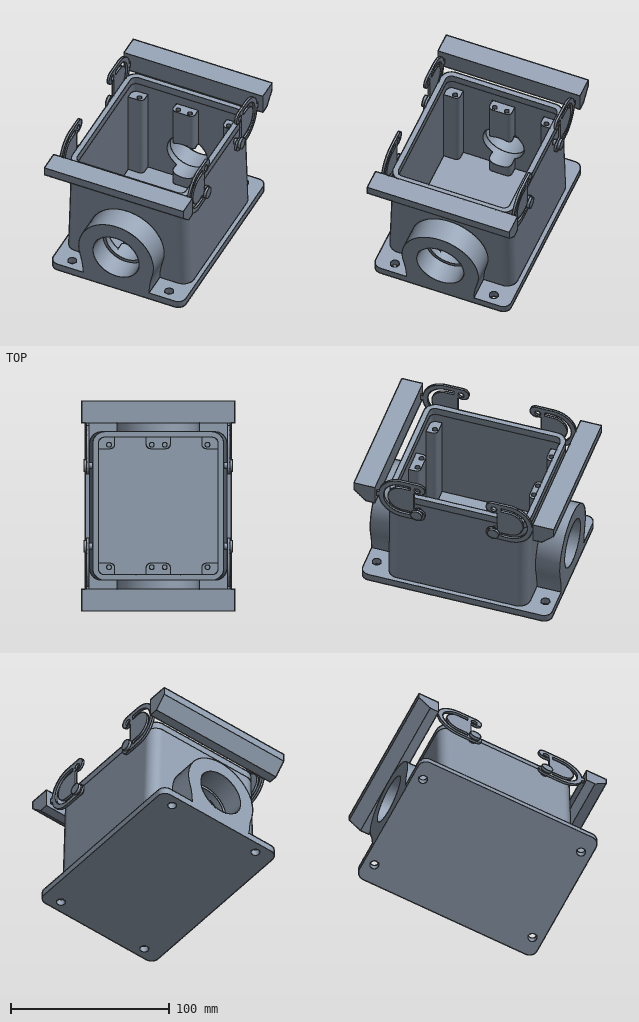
import cadquery as cq
import math


FLANGE_WIDTH = 92.6
FLANGE_LENGTH = 126.2
FLANGE_THICKNESS = 5.0
FLANGE_CORNER_RADIUS = 5.5
MOUNTING_HOLE_DIAMETER = 5.6
MOUNTING_HOLE_X = 33.8
MOUNTING_HOLE_Y = 56.1

BOX_HEIGHT = 79.0
RIM_HEIGHT = 5.3
RIM_WIDTH = 82.7
BOX_LENGTH = 93.9
BOX_CORNER_RADIUS = 7.5
WALL_THICKNESS = 3.5
WALL_LEAN = 2.0
RIM_BOTTOM = BOX_HEIGHT - RIM_HEIGHT
CAVITY_WIDTH = RIM_WIDTH - 2 * WALL_THICKNESS
CAVITY_LENGTH = BOX_LENGTH - 2 * WALL_THICKNESS
CAVITY_CORNER_RADIUS = BOX_CORNER_RADIUS - WALL_THICKNESS

PILLAR_TOP = 67.2
PILLAR_REACH = 7.3
PILLAR_CORNER_RADIUS = 2.9
CORNER_PILLAR_WIDTH = 10.4
MIDDLE_PILLAR_WIDTH = 15.3
SCREW_HOLE_DIAMETER = 3.0
SCREW_HOLE_DEPTH = 13.3
SCREW_HOLE_Y = 38.7
MIDDLE_SCREW_X = 4.1
CORNER_SCREW_X = 31.1

ENTRY_HEIGHT = 26.9
ENTRY_RADIUS = 26.1
ENTRY_NECK_HALF_WIDTH = 23.0
ENTRY_BORE_RADIUS = 14.1
ENTRY_COUNTERBORE_RADIUS = 16.1
ENTRY_COUNTERBORE_DEPTH = 14.9

LEVER_HEIGHT = 79.4
PLATE_INNER_X = 43.8
PLATE_THICKNESS = 1.5
PLATE_EDGE_Y = 27.8
PLATE_ARC_Y = 35.5
PLATE_ARC_RADIUS = 15.5
HOOK_RADIUS = 4.3
HOOK_Y = 24.6
NOTCH_FILLET = 0.9
SLOT_OUTER_RADIUS = 12.4
SLOT_INNER_RADIUS = 9.5
SLOT_END_Y = 30.2
SLOT_END_FILLET = 0.5
PIN_Y = 25.5
PIN_OFFSET_Z = 10.4
PIN_RADIUS = 2.0
PIN_HEAD_RADIUS = 3.7
PIN_HEAD_THICKNESS = 1.9
NECK_HEIGHT = 3.9
BAR_LENGTH = 97.0
BAR_OUTER_Y = 66.5
BAR_INNER_Y = 52.5
BAR_BOTTOM_OUTER_Y = 58.5
BAR_TOP = 87.5
BAR_BEND = 81.5
BAR_BOTTOM = RIM_BOTTOM
PLATE_OUTER_X = PLATE_INNER_X + PLATE_THICKNESS


def wall_block(bottom, top, bottom_width, top_width, length, radius):
    """Block with upright Y sides, evenly sloped X sides and four rounded corners."""
    return (
        cq.Workplane("XZ")
        .polyline(
            [
                (-bottom_width / 2, bottom),
                (bottom_width / 2, bottom),
                (top_width / 2, top),
                (-top_width / 2, top),
            ]
        )
        .close()
        .extrude(length / 2, both=True)
        .edges("not (|X or |Y)")
        .fillet(radius)
    )


def leaning_walls():
    """Outside of the box below the rim, wider at the flange than at the rim."""
    foot_width = RIM_WIDTH + 2 * WALL_LEAN
    return wall_block(FLANGE_THICKNESS, RIM_BOTTOM, foot_width, RIM_WIDTH, BOX_LENGTH, BOX_CORNER_RADIUS)


def cavity():
    """Straight-sided pocket from the top of the flange up through the rim."""
    return wall_block(
        FLANGE_THICKNESS, BOX_HEIGHT, CAVITY_WIDTH, CAVITY_WIDTH, CAVITY_LENGTH, CAVITY_CORNER_RADIUS
    )


def flange():
    return (
        cq.Workplane()
        .rect(FLANGE_WIDTH, FLANGE_LENGTH)
        .extrude(FLANGE_THICKNESS)
        .edges("|Z")
        .fillet(FLANGE_CORNER_RADIUS)
        .faces(">Z")
        .workplane()
        .rect(2 * MOUNTING_HOLE_X, 2 * MOUNTING_HOLE_Y, forConstruction=True)
        .vertices()
        .hole(MOUNTING_HOLE_DIAMETER)
    )


def cable_entries():
    """Round bosses over the full flange length, each blending down into a narrower neck."""
    rise = ENTRY_HEIGHT - FLANGE_THICKNESS
    blend_radius = (rise**2 + ENTRY_NECK_HALF_WIDTH**2 - ENTRY_RADIUS**2) / (
        2 * (ENTRY_RADIUS - ENTRY_NECK_HALF_WIDTH)
    )
    blend_center_x = ENTRY_NECK_HALF_WIDTH + blend_radius
    blend_angle = math.asin(rise / (ENTRY_RADIUS + blend_radius))
    touch_x = ENTRY_RADIUS * math.cos(blend_angle)
    touch_z = ENTRY_HEIGHT - ENTRY_RADIUS * math.sin(blend_angle)
    middle_x = blend_center_x - blend_radius * math.cos(blend_angle / 2)
    middle_z = FLANGE_THICKNESS + blend_radius * math.sin(blend_angle / 2)
    return (
        cq.Workplane("XZ", origin=(0, FLANGE_LENGTH / 2, 0))
        .moveTo(-ENTRY_NECK_HALF_WIDTH, 0)
        .lineTo(ENTRY_NECK_HALF_WIDTH, 0)
        .lineTo(ENTRY_NECK_HALF_WIDTH, FLANGE_THICKNESS)
        .threePointArc((middle_x, middle_z), (touch_x, touch_z))
        .threePointArc((0, ENTRY_HEIGHT + ENTRY_RADIUS), (-touch_x, touch_z))
        .threePointArc((-middle_x, middle_z), (-ENTRY_NECK_HALF_WIDTH, FLANGE_THICKNESS))
        .close()
        .extrude(FLANGE_LENGTH)
    )


def cable_bores():
    bore = (
        cq.Workplane("XZ", origin=(0, FLANGE_LENGTH / 2, ENTRY_HEIGHT))
        .circle(ENTRY_BORE_RADIUS)
        .extrude(FLANGE_LENGTH)
    )
    for start_y in (FLANGE_LENGTH / 2, ENTRY_COUNTERBORE_DEPTH - FLANGE_LENGTH / 2):
        counterbore = (
            cq.Workplane("XZ", origin=(0, start_y, ENTRY_HEIGHT))
            .circle(ENTRY_COUNTERBORE_RADIUS)
            .extrude(ENTRY_COUNTERBORE_DEPTH)
        )
        bore = bore.union(counterbore)
    return bore


def screw_pillars():
    """Three pillars on each Y wall. They reach past the sides of the cavity into the walls."""
    half_length = BOX_LENGTH / 2 - WALL_THICKNESS / 2
    reach = PILLAR_REACH + WALL_THICKNESS / 2
    corner_inner_x = CAVITY_WIDTH / 2 - CORNER_PILLAR_WIDTH
    corner_outer_x = RIM_WIDTH / 2
    spans = [
        (-corner_outer_x, -corner_inner_x),
        (-MIDDLE_PILLAR_WIDTH / 2, MIDDLE_PILLAR_WIDTH / 2),
        (corner_inner_x, corner_outer_x),
    ]
    pillars = cq.Workplane()
    for side in (-1, 1):
        for start_x, end_x in spans:
            pillar = (
                cq.Workplane()
                .workplane(offset=FLANGE_THICKNESS)
                .center((start_x + end_x) / 2, side * (half_length - reach / 2))
                .rect(end_x - start_x, reach)
                .extrude(PILLAR_TOP - FLANGE_THICKNESS)
                .edges("|Z")
                .edges("<Y" if side > 0 else ">Y")
                .fillet(PILLAR_CORNER_RADIUS)
            )
            pillars = pillars.add(pillar)
    return pillars.combine()


def screw_holes():
    points = [
        (x, y)
        for x in (-CORNER_SCREW_X, -MIDDLE_SCREW_X, MIDDLE_SCREW_X, CORNER_SCREW_X)
        for y in (-SCREW_HOLE_Y, SCREW_HOLE_Y)
    ]
    return (
        cq.Workplane()
        .workplane(offset=PILLAR_TOP)
        .pushPoints(points)
        .circle(SCREW_HOLE_DIAMETER / 2)
        .extrude(-SCREW_HOLE_DEPTH)
    )


def round_ended_outline(radius, end_y):
    """Half disc of the lever plate's arc, carried straight on to end_y, one plate thick."""
    return (
        cq.Workplane("YZ", origin=(PLATE_INNER_X, 0, LEVER_HEIGHT))
        .moveTo(end_y, -radius)
        .lineTo(PLATE_ARC_Y, -radius)
        .threePointArc((PLATE_ARC_Y + radius, 0), (PLATE_ARC_Y, radius))
        .lineTo(end_y, radius)
        .close()
        .extrude(PLATE_THICKNESS)
    )


def lever_plate():
    """The +X side plate of the rear lever: a D shape with a hook above and below."""
    hook_z = PLATE_ARC_RADIUS - HOOK_RADIUS
    plate = round_ended_outline(PLATE_ARC_RADIUS, PLATE_EDGE_Y)
    lever_plane = cq.Workplane("YZ", origin=(PLATE_INNER_X, 0, LEVER_HEIGHT))
    for side in (-1, 1):
        hook = lever_plane.center(HOOK_Y, side * hook_z).circle(HOOK_RADIUS).extrude(PLATE_THICKNESS)
        hook_bridge = (
            lever_plane.center((HOOK_Y + PLATE_EDGE_Y) / 2, side * (PLATE_ARC_RADIUS - HOOK_RADIUS / 2))
            .rect(PLATE_EDGE_Y - HOOK_Y, HOOK_RADIUS)
            .extrude(PLATE_THICKNESS)
        )
        plate = plate.union(hook).union(hook_bridge)
    notch_z = hook_z - math.sqrt(HOOK_RADIUS**2 - (PLATE_EDGE_Y - HOOK_Y) ** 2)
    for side in (-1, 1):
        corner = cq.selectors.NearestToPointSelector(
            (PLATE_INNER_X + PLATE_THICKNESS / 2, PLATE_EDGE_Y, LEVER_HEIGHT + side * notch_z)
        )
        plate = plate.edges("|X").edges(corner).fillet(NOTCH_FILLET)

    slot = (
        round_ended_outline(SLOT_OUTER_RADIUS, SLOT_END_Y)
        .cut(round_ended_outline(SLOT_INNER_RADIUS, SLOT_END_Y))
        .edges("|X and <Y")
        .fillet(SLOT_END_FILLET)
    )
    latch_hole = lever_plane.center(PIN_Y, PIN_OFFSET_Z).circle(PIN_RADIUS).extrude(PLATE_THICKNESS)
    neck_length = BAR_INNER_Y - PLATE_ARC_Y - SLOT_OUTER_RADIUS
    neck = (
        lever_plane.center(BAR_INNER_Y - neck_length / 2, 0)
        .rect(neck_length, NECK_HEIGHT)
        .extrude(PLATE_THICKNESS)
    )
    return plate.union(neck).cut(slot).cut(latch_hole)


def lever_pin():
    """The +X pivot pin, reaching from the box wall through the plate to a round head."""
    wall_x = RIM_WIDTH / 2
    pin_z = LEVER_HEIGHT - PIN_OFFSET_Z
    shank = (
        cq.Workplane("YZ", origin=(wall_x, PIN_Y, pin_z))
        .circle(PIN_RADIUS)
        .extrude(PLATE_OUTER_X - wall_x)
    )
    head = (
        cq.Workplane("YZ", origin=(PLATE_OUTER_X, PIN_Y, pin_z))
        .circle(PIN_HEAD_RADIUS)
        .extrude(PIN_HEAD_THICKNESS)
    )
    return shank.union(head)


def rear_lever():
    bar = (
        cq.Workplane("YZ")
        .polyline(
            [
                (BAR_INNER_Y, BAR_BOTTOM),
                (BAR_BOTTOM_OUTER_Y, BAR_BOTTOM),
                (BAR_OUTER_Y, BAR_BEND),
                (BAR_OUTER_Y, BAR_TOP),
                (BAR_INNER_Y, BAR_TOP),
            ]
        )
        .close()
        .extrude(BAR_LENGTH / 2, both=True)
    )
    side = lever_plate().union(lever_pin())
    return bar.union(side).union(side.mirror("YZ"))


def make_housing():
    """Flange, cable entries and leaning walls, with both levers joined on through their pins."""
    pocket = cavity().cut(screw_pillars())
    box = (
        flange()
        .union(cable_entries())
        .union(leaning_walls())
        .cut(pocket)
        .cut(screw_holes())
        .cut(cable_bores())
    )
    lever = rear_lever()
    return box.union(lever).union(lever.mirror("XZ"))


def make_rim():
    """Straight frame standing on the leaning walls, level with them inside."""
    frame = wall_block(RIM_BOTTOM, BOX_HEIGHT, RIM_WIDTH, RIM_WIDTH, BOX_LENGTH, BOX_CORNER_RADIUS)
    return frame.cut(cavity())


housing = make_housing()
rim = make_rim()

result = cq.Compound.makeCompound([housing.solids().val(), rim.solids().val()])